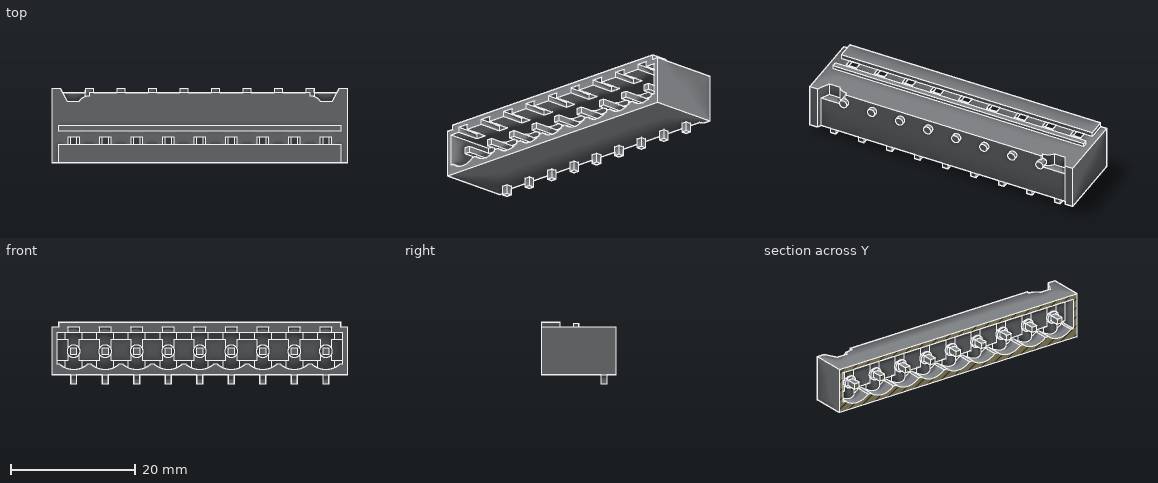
import cadquery as cq

PIN_COUNT = 9
ROW_LENGTH = 40.6
PITCH = ROW_LENGTH / (PIN_COUNT - 1)
PIN_XS = [i * PITCH - ROW_LENGTH / 2 for i in range(PIN_COUNT)]
BOSS_XS = [x + PITCH / 2 for x in PIN_XS[:-1]]

PIN_SIZE = 1.0
PIN_AXIS_Z = 3.8
PIN_TIP_Y = 0.95
TAIL_BACK_Y = 10.55
TAIL_LENGTH = 1.5

LENGTH = 47.6
DEPTH = 12.0
HEIGHT = 7.7
REAR_RECESS = 0.65
REAR_WALL_Y = DEPTH - REAR_RECESS

RAIL_INSET = 1.1
RAIL_LENGTH = LENGTH - 2 * RAIL_INSET
FRONT_RAIL_DEPTH = 3.0
FRONT_RAIL_HEIGHT = 0.75
RIDGE_Y = 5.15
RIDGE_WIDTH = 0.85
RIDGE_HEIGHT = 0.55

SIDE_WALL = 0.8
CAVITY_WIDTH = LENGTH - 2 * SIDE_WALL
CAVITY_FLOOR_Z = 1.7
CAVITY_ROOF_Z = 6.85
CAVITY_DEPTH = 8.55
SCALLOP_WIDTH = 4.5
SCALLOP_DEPTH = 0.85

SLOT_WIDTH = 1.85
SLOT_DEPTH = 4.15

COLUMN_DIAMETER = 3.4
COLUMN_SETBACK = 1.0
LEDGE_BOTTOM_Z = 2.3
LEDGE_TOP_Z = 5.7
LEDGE_THICKNESS = 0.45
COLLAR_DIAMETER = 2.05
COLLAR_LENGTH = 0.85

BOSS_DIAMETER = 1.35
BOSS_AXIS_Z = 6.25
END_POST_WIDTH = 1.4
NOTCH_FLOOR_INSET = 2.5
NOTCH_FLOOR_END_INSET = 4.4
NOTCH_FLOOR_Y = 9.9
NOTCH_STEP_Y = 10.8
NOTCH_BOTTOM_Z = BOSS_AXIS_Z - BOSS_DIAMETER / 2

def box(width, depth, height, y, z, x=0.0):
    """Box centred on x, starting at y and z."""
    return cq.Workplane("XY").box(width, depth, height, centered=(True, False, False)).translate((x, y, z))

def y_cylinder(diameter, x, z, y_start, y_end):
    """Cylinder along Y."""
    plane = cq.Workplane("XZ", origin=(x, y_start, z))
    return plane.circle(diameter / 2).extrude(y_start - y_end)

def slant_point(y):
    """Point at depth y on the slanted inner side of the left end post."""
    run = NOTCH_FLOOR_INSET - END_POST_WIDTH
    fraction = (DEPTH - y) / (DEPTH - NOTCH_FLOOR_Y)
    return (END_POST_WIDTH + run * fraction - LENGTH / 2, y)

def housing_block():
    """Block whose rear face is set back between two end posts with slanted inner sides."""
    left_tip = slant_point(DEPTH)
    left_root = slant_point(REAR_WALL_Y)
    recess = cq.Workplane("XY").polyline([
        left_tip,
        left_root,
        (-left_root[0], REAR_WALL_Y),
        (-left_tip[0], DEPTH),
    ]).close().extrude(HEIGHT)
    return box(LENGTH, DEPTH, HEIGHT, 0, 0).cut(recess)

def rails():
    """Wide rail along the front edge and narrow ridge behind it."""
    front_rail = box(RAIL_LENGTH, FRONT_RAIL_DEPTH, FRONT_RAIL_HEIGHT, 0, HEIGHT)
    ridge = box(RAIL_LENGTH, RIDGE_WIDTH, RIDGE_HEIGHT, RIDGE_Y, HEIGHT)
    return [front_rail, ridge]

def scallop(x):
    """Shallow round trough in the cavity floor below a pin."""
    half_width = SCALLOP_WIDTH / 2
    profile = cq.Workplane("XZ").moveTo(x - half_width, CAVITY_FLOOR_Z)
    profile = profile.threePointArc(
        (x, CAVITY_FLOOR_Z - SCALLOP_DEPTH),
        (x + half_width, CAVITY_FLOOR_Z),
    ).close()
    return profile.extrude(-CAVITY_DEPTH)

def cavity_back():
    """Ledge across the back wall, and at each pin a column standing out of the wall and a collar."""
    ledge_height = LEDGE_TOP_Z - LEDGE_BOTTOM_Z
    parts = [box(CAVITY_WIDTH, LEDGE_THICKNESS, ledge_height, CAVITY_DEPTH - LEDGE_THICKNESS, LEDGE_BOTTOM_Z)]
    column_y = CAVITY_DEPTH + COLUMN_SETBACK
    column_bottom_z = CAVITY_FLOOR_Z - SCALLOP_DEPTH
    for x in PIN_XS:
        column = cq.Workplane("XY", origin=(x, column_y, column_bottom_z)).circle(COLUMN_DIAMETER / 2)
        parts.append(column.extrude(CAVITY_ROOF_Z - column_bottom_z))
        parts.append(y_cylinder(COLLAR_DIAMETER, x, PIN_AXIS_Z, CAVITY_DEPTH - COLLAR_LENGTH, CAVITY_DEPTH))
    return parts


def corner_notch():
    """Notch in the upper rear left corner, ending at the middle of the first boss."""
    step_x = BOSS_XS[0]
    floor_end_x = NOTCH_FLOOR_END_INSET - LENGTH / 2
    arc_run = step_x - floor_end_x
    arc_rise = NOTCH_STEP_Y - NOTCH_FLOOR_Y
    arc_radius = (arc_run**2 + arc_rise**2) / (2 * arc_rise)
    outline = (
        cq.Workplane("XY", origin=(0, 0, NOTCH_BOTTOM_Z))
        .moveTo(*slant_point(DEPTH))
        .lineTo(*slant_point(NOTCH_FLOOR_Y))
        .lineTo(floor_end_x, NOTCH_FLOOR_Y)
        .radiusArc((step_x, NOTCH_STEP_Y), arc_radius)
        .lineTo(step_x, DEPTH)
        .close()
    )
    return outline.extrude(HEIGHT - NOTCH_BOTTOM_Z)

def pin(x):
    """Square right-angle pin: a blade along Y with a tail down through the floor."""
    half = PIN_SIZE / 2
    blade = box(PIN_SIZE, TAIL_BACK_Y - PIN_TIP_Y, PIN_SIZE, PIN_TIP_Y, PIN_AXIS_Z - half, x)
    tail = box(PIN_SIZE, PIN_SIZE, PIN_AXIS_Z + TAIL_LENGTH, TAIL_BACK_Y - PIN_SIZE, -TAIL_LENGTH, x)
    return blade.union(tail)

def build_housing(pins):
    """Housing with a fitting hole for every pin."""
    body = housing_block()
    for rail in rails():
        body = body.union(rail)

    body = body.cut(box(CAVITY_WIDTH, CAVITY_DEPTH, CAVITY_ROOF_Z - CAVITY_FLOOR_Z, 0, CAVITY_FLOOR_Z))
    for x in PIN_XS:
        body = body.cut(scallop(x))
        body = body.cut(box(SLOT_WIDTH, SLOT_DEPTH, HEIGHT - CAVITY_ROOF_Z, 0, CAVITY_ROOF_Z, x))

    for part in cavity_back():
        body = body.union(part)

    notch = corner_notch()
    body = body.cut(notch).cut(notch.mirror("YZ"))
    for x in BOSS_XS:
        body = body.union(y_cylinder(BOSS_DIAMETER, x, BOSS_AXIS_Z, NOTCH_FLOOR_Y, DEPTH))

    for contact in pins:
        body = body.cut(contact)
    return body

contact_pins = [pin(x) for x in PIN_XS]
housing = build_housing(contact_pins)
result = cq.Compound.makeCompound([housing.val(), *[contact.val() for contact in contact_pins]])